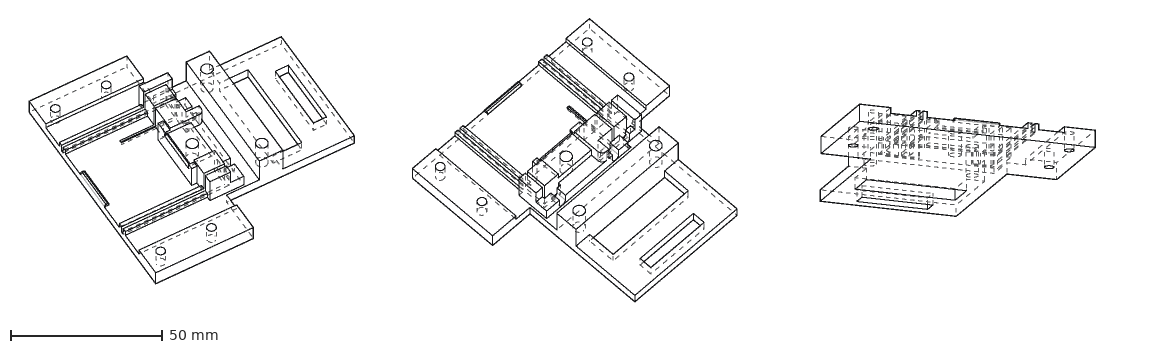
import cadquery as cq

FLOOR_Z = 4.0
PAD_Z = 6.0
TOP_Z = 14.2
EMBED = 0.5

WING_WIDTH = 83.1
WING_LENGTH = 37.5
TAIL_WIDTH = 48.0
TOTAL_LENGTH = 86.5

PAD_WIDTH = 11.0
MOUNT_HOLE_DIAMETER = 3.2
MOUNT_HOLE_X = 34.5
MOUNT_HOLE_YS = (6.0, 25.5)

STRAP_SLOT_WIDTH = 25.0
STRAP_SLOT_Y = (77.5, 82.5)
WINDOW_WIDTH = 35.2
WINDOW_END_Y = 70.0

BAR_Y = (50.0, 59.0)
SCREW_HOLE_DIAMETER = 4.15
BAR_HOLE_X = 18.0

BLOCK_HALF_WIDTH = 23.2
BLOCK_FRONT_Y = 31.5
BLOCK_BACK_Y = 44.5
CORNER_NOTCH_X = -16.3
CORNER_NOTCH_Y = 42.5
LEDGE_Z = 8.6
TAB_X = (-6.0, -2.8)
TAB_CORNER_RADIUS = 2.0

SLOT_WIDTH = 1.0
SLOT_BOTTOM_Z = 3.0
OUTER_SLOT_X = 20.2
INNER_SLOT_X = -13.45
INNER_SLOT_START_Y = 18.5
CROSS_SLOT_Y = 39.5
CROSS_SLOT_BACK_Y = CROSS_SLOT_Y + SLOT_WIDTH

RAIL_X = (17.7, 21.6)

CHANNEL_WIDTH = 2.8
CHANNEL_BOTTOM_Z = 4.2
CHANNEL_XS = (-16.3, -9.2, 15.8)

SEAT_X = (TAB_X[1], 12.7)
SEAT_Z = 11.9
SEAT_HOLE_X = 4.95
SEAT_HOLE_Y = 35.4
LIP_X = (-7.3, 14.7)
LIP_FRONT_Y = 29.5
LIP_Z = 13.1
LIP_STEP_Y = 30.5
LIP_STEP_X = (-3.1, SEAT_X[1])
LIP_STEP_Z = 10.9

RIDGE_WIDTH = 15.8
RIDGE_FACE_Z = 4.2
RIDGE_TOP_Z = 5.0
RIDGE_LENGTH = 1.85
RIDGE_ROUND_RUN = 0.6


def box(x_range, y_range, z_range):
    """Box spanning the given (low, high) ranges."""
    (x0, x1), (y0, y1), (z0, z1) = x_range, y_range, z_range
    return cq.Workplane("XY").box(x1 - x0, y1 - y0, z1 - z0, centered=False).translate((x0, y0, z0))


def span(width):
    """Range of the given width centred on zero."""
    return (-width / 2, width / 2)


def vertical_hole(x, y, diameter, bottom_z):
    """Cutter for a round hole from the top of the part down to bottom_z."""
    hole = cq.Workplane("XY").circle(diameter / 2).extrude(TOP_Z - bottom_z)
    return hole.translate((x, y, bottom_z))


def base_plate():
    wings = box(span(WING_WIDTH), (0, WING_LENGTH), (0, FLOOR_Z))
    tail = box(span(TAIL_WIDTH), (0, TOTAL_LENGTH), (0, FLOOR_Z))
    strap_slot = box(span(STRAP_SLOT_WIDTH), STRAP_SLOT_Y, (0, FLOOR_Z))
    window = box(span(WINDOW_WIDTH), (BAR_Y[1], WINDOW_END_Y), (0, FLOOR_Z))
    return wings.union(tail).cut(strap_slot).cut(window)


def mounting_pads():
    outer_x = WING_WIDTH / 2
    pad = box((outer_x - PAD_WIDTH, outer_x), (0, WING_LENGTH), (0, PAD_Z))
    return pad.union(pad.mirror("YZ"))


def mounting_holes():
    holes = cq.Workplane("XY")
    for x in (-MOUNT_HOLE_X, MOUNT_HOLE_X):
        for y in MOUNT_HOLE_YS:
            holes = holes.union(vertical_hole(x, y, MOUNT_HOLE_DIAMETER, 0))
    return holes


def crossbar():
    bar = box(span(TAIL_WIDTH), BAR_Y, (FLOOR_Z - EMBED, TOP_Z))
    for x in (-BAR_HOLE_X, BAR_HOLE_X):
        bar = bar.cut(vertical_hole(x, sum(BAR_Y) / 2, SCREW_HOLE_DIAMETER, FLOOR_Z))
    return bar


def guide_rails():
    rail = box(RAIL_X, (0, BLOCK_FRONT_Y + EMBED), (FLOOR_Z - EMBED, PAD_Z))
    return rail.union(rail.mirror("YZ"))


def wire_channel(x):
    """Cutter for a U-shaped channel along Y, open at the top of the ledge."""
    radius = CHANNEL_WIDTH / 2
    axis_z = CHANNEL_BOTTOM_Z + radius
    length = BLOCK_BACK_Y - CROSS_SLOT_Y
    profile = (
        cq.Workplane("XZ", origin=(x, BLOCK_BACK_Y, 0))
        .moveTo(-radius, LEDGE_Z)
        .lineTo(-radius, axis_z)
        .threePointArc((0, CHANNEL_BOTTOM_Z), (radius, axis_z))
        .lineTo(radius, LEDGE_Z)
        .close()
    )
    return profile.extrude(length)


def block_body():
    """Clamp block outline with its ledge, tab and wire channels."""
    block_x = (-BLOCK_HALF_WIDTH, BLOCK_HALF_WIDTH)
    body = box(block_x, (BLOCK_FRONT_Y, BLOCK_BACK_Y), (FLOOR_Z - EMBED, TOP_Z))
    tab_corner = cq.selectors.NearestToPointSelector((TAB_X[1], BLOCK_BACK_Y, (LEDGE_Z + TOP_Z) / 2))
    left_ledge = box((-OUTER_SLOT_X, TAB_X[0]), (CROSS_SLOT_Y, BLOCK_BACK_Y), (LEDGE_Z, TOP_Z))
    right_ledge = box((TAB_X[1], BLOCK_HALF_WIDTH), (CROSS_SLOT_Y, BLOCK_BACK_Y), (LEDGE_Z, TOP_Z))
    body = body.cut(left_ledge).cut(right_ledge)
    body = body.edges("|Z").edges(tab_corner).fillet(TAB_CORNER_RADIUS)
    for x in CHANNEL_XS:
        body = body.cut(wire_channel(x))
    corner_notch = box(
        (-BLOCK_HALF_WIDTH, CORNER_NOTCH_X), (CORNER_NOTCH_Y, BLOCK_BACK_Y), (FLOOR_Z - EMBED, TOP_Z)
    )
    return body.cut(corner_notch)


def clamp_block():
    lip = box(LIP_X, (LIP_FRONT_Y, BLOCK_FRONT_Y), (FLOOR_Z - EMBED, LIP_Z))
    seat = box(SEAT_X, (LIP_FRONT_Y, CROSS_SLOT_Y), (SEAT_Z, TOP_Z))
    lip_step = box(LIP_STEP_X, (LIP_FRONT_Y, LIP_STEP_Y), (LIP_STEP_Z, SEAT_Z))
    screw_hole = vertical_hole(SEAT_HOLE_X, SEAT_HOLE_Y, SCREW_HOLE_DIAMETER, FLOOR_Z)
    return block_body().union(lip).cut(seat).cut(lip_step).cut(screw_hole)


def contact_slots():
    """Cutters for the thin slots that hold the bent contact strips."""
    depth = (SLOT_BOTTOM_Z, TOP_Z)
    cross_y = (CROSS_SLOT_Y, CROSS_SLOT_BACK_Y)
    left_lead = box((-OUTER_SLOT_X, -OUTER_SLOT_X + SLOT_WIDTH), (0, CROSS_SLOT_BACK_Y), depth)
    right_lead = box((OUTER_SLOT_X - SLOT_WIDTH, OUTER_SLOT_X), (0, CROSS_SLOT_BACK_Y), depth)
    inner_lead = box(
        (INNER_SLOT_X, INNER_SLOT_X + SLOT_WIDTH), (INNER_SLOT_START_Y, CROSS_SLOT_BACK_Y), depth
    )
    left_cross = box((-OUTER_SLOT_X, TAB_X[0]), cross_y, depth)
    right_cross = box((SEAT_X[1], OUTER_SLOT_X), cross_y, depth)
    return left_lead.union(right_lead).union(inner_lead).union(left_cross).union(right_cross)


def snap_ridge():
    """Low bar whose two long top edges are rounded off, leaving a narrow flat top."""
    front_half = (
        cq.Workplane("YZ")
        .moveTo(RIDGE_LENGTH / 2, FLOOR_Z - EMBED)
        .lineTo(0, FLOOR_Z - EMBED)
        .lineTo(0, RIDGE_FACE_Z)
        .tangentArcPoint((RIDGE_ROUND_RUN, RIDGE_TOP_Z), relative=False)
        .lineTo(RIDGE_LENGTH / 2, RIDGE_TOP_Z)
        .close()
        .extrude(RIDGE_WIDTH / 2, both=True)
    )
    return front_half.union(front_half.mirror("XZ", (0, RIDGE_LENGTH / 2, 0)))


result = (
    base_plate()
    .union(mounting_pads())
    .cut(mounting_holes())
    .union(crossbar())
    .union(guide_rails())
    .union(clamp_block())
    .cut(contact_slots())
    .union(snap_ridge())
)